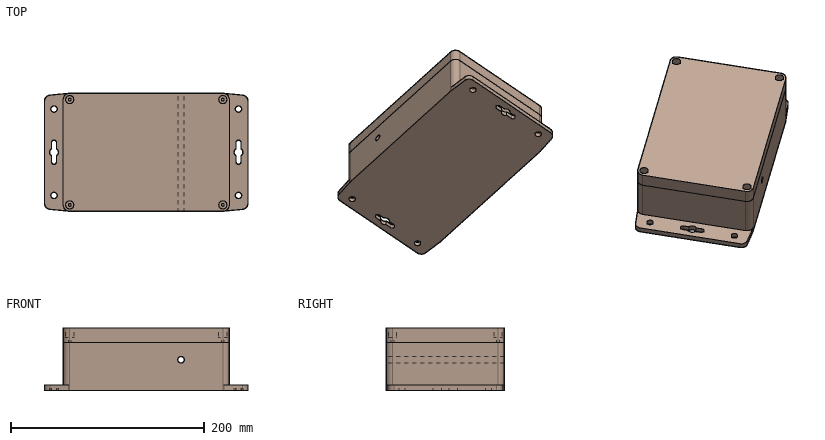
import cadquery as cq
import math

box_length = 172.0
box_width = 122.5
total_height = 65.1
lid_height = 15.2
base_height = total_height - lid_height
corner_radius = 6.7

flange_length = 210.8
flange_end_width = 117.5
flange_thickness = 6.0
flange_corner_radius = 6.3
taper_start_inset = 5.3

mount_x = 95.5
mount_hole_y = 44.7
mount_hole_diameter = 6.3
keyhole_diameter = 8.9
keyhole_slot_width = 4.8
keyhole_slot_length = 24.9

screw_x = box_length / 2 - corner_radius
screw_y = box_width / 2 - corner_radius
screw_positions = [(sx * screw_x, sy * screw_y) for sx in (-1, 1) for sy in (-1, 1)]
screw_head_diameter = 8.5
screw_head_depth = 10.1
screw_shank_diameter = 3.0

side_hole_x = 36.0
side_hole_z = 32.0
side_hole_diameter = 6.5


def rounded_block(bottom, height):
    """Block with the enclosure outline and rounded vertical corners."""
    return (
        cq.Workplane("XY", origin=(0, 0, bottom))
        .rect(box_length, box_width)
        .extrude(height)
        .edges("|Z")
        .fillet(corner_radius)
    )


def make_flange():
    """Flat plate whose ends taper from the rounded box corners."""
    end_x = flange_length / 2
    end_y = flange_end_width / 2
    taper_x = box_length / 2 - taper_start_inset
    taper_y = screw_y + math.sqrt(corner_radius**2 - (taper_x - screw_x) ** 2)
    plate = (
        cq.Workplane("XY")
        .polyline([
            (end_x, -end_y), (end_x, end_y), (taper_x, taper_y), (-taper_x, taper_y),
            (-end_x, end_y), (-end_x, -end_y), (-taper_x, -taper_y), (taper_x, -taper_y),
        ])
        .close()
        .extrude(flange_thickness)
    )
    return plate.edges("|Z and (<X or >X)").fillet(flange_corner_radius)


def mounting_cutters():
    """Round holes and double-ended keyholes at both flange ends."""
    hole_centers = [(sx * mount_x, sy * mount_hole_y) for sx in (-1, 1) for sy in (-1, 1)]
    keyhole_centers = [(-mount_x, 0), (mount_x, 0)]
    holes = (
        cq.Workplane("XY")
        .pushPoints(hole_centers)
        .circle(mount_hole_diameter / 2)
        .extrude(flange_thickness)
    )
    keyholes = (
        cq.Workplane("XY")
        .pushPoints(keyhole_centers)
        .circle(keyhole_diameter / 2)
        .extrude(flange_thickness)
    )
    slots = (
        cq.Workplane("XY")
        .pushPoints(keyhole_centers)
        .slot2D(keyhole_slot_length, keyhole_slot_width, 90)
        .extrude(flange_thickness)
    )
    return holes.union(keyholes).union(slots)


def make_base():
    """Lower enclosure block with its flange and the cross hole."""
    side_hole = (
        cq.Workplane("XZ", origin=(side_hole_x, 0, side_hole_z))
        .circle(side_hole_diameter / 2)
        .extrude(box_width / 2, both=True)
    )
    return (
        rounded_block(0, base_height)
        .union(make_flange())
        .cut(mounting_cutters())
        .cut(side_hole)
    )


def make_lid():
    """Lid with a counterbored screw hole in each corner."""
    return (
        rounded_block(base_height, lid_height)
        .faces(">Z")
        .workplane(origin=(0, 0, total_height))
        .pushPoints(screw_positions)
        .cboreHole(screw_shank_diameter, screw_head_diameter, screw_head_depth)
    )


base = make_base()
lid = make_lid()

result = cq.Compound.makeCompound([base.val(), lid.val()])